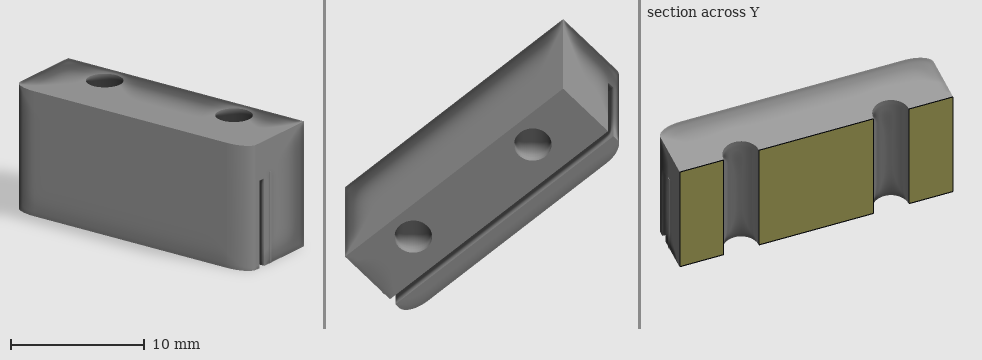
import cadquery as cq

overall_length = 21.95
depth = 7.0
height = 10.0

rib_projection = 0.05
rib_width = 0.22
rib_height = 7.3
rib_from_back = 4.25

block_length = overall_length - rib_projection
half_length = block_length / 2

corner_length = 2.0
corner_depth = corner_length / 2

hole_diameter = 2.8
hole_spacing = 12.0
hole_from_back = 2.1

slot_width = 0.6
slot_height = 7.0
slot_from_back = 5.0


def block():
    return (
        cq.Workplane("XY")
        .moveTo(-half_length, depth)
        .lineTo(-half_length, corner_depth)
        .ellipseArc(corner_length, corner_depth, 180, 270, startAtCurrent=True)
        .lineTo(half_length - corner_length, 0)
        .ellipseArc(corner_length, corner_depth, 270, 360, startAtCurrent=True)
        .lineTo(half_length, depth)
        .close()
        .extrude(height)
    )


def end_rib():
    return (
        cq.Workplane("XY")
        .center(half_length, depth - rib_from_back)
        .rect(2 * rib_projection, rib_width)
        .extrude(rib_height)
    )


def holes():
    return (
        cq.Workplane("XY")
        .center(0, depth - hole_from_back)
        .pushPoints([(-hole_spacing / 2, 0), (hole_spacing / 2, 0)])
        .circle(hole_diameter / 2)
        .extrude(height)
    )


def slot():
    return (
        cq.Workplane("XY")
        .center(0, depth - slot_from_back - slot_width / 2)
        .rect(block_length, slot_width)
        .extrude(slot_height)
    )


result = block().union(end_rib()).cut(holes()).cut(slot())